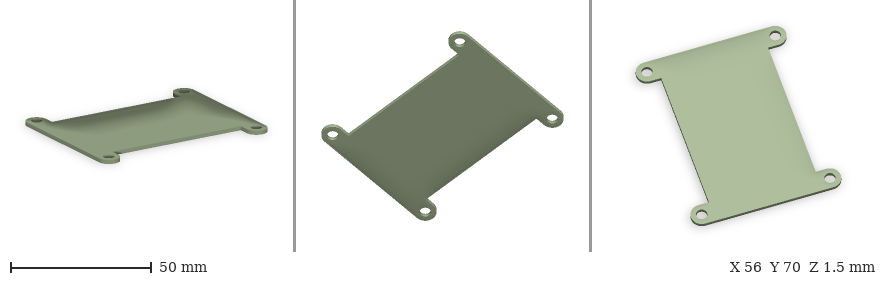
import cadquery as cq

length_x = 56.0
length_y = 70.0
thickness = 1.5

panel_width = 40.0
ear_width = 8.0
hole_diameter = 4.0

ear_radius = ear_width / 2
hole_spacing_x = length_x - ear_width
hole_spacing_y = length_y - ear_width


def make_panel():
    """Flat rectangular panel spanning the full length in Y."""
    return cq.Workplane("XY").rect(panel_width, length_y).extrude(thickness)


def make_ear_bar(center_y):
    """Round-ended bar across the panel, forming one ear on each side."""
    return (
        cq.Workplane("XY")
        .center(0, center_y)
        .slot2D(length_x, ear_width)
        .extrude(thickness)
    )


def cut_mounting_holes(plate):
    """Through hole at the center of each ear's rounded end."""
    holes = (
        cq.Workplane("XY")
        .rect(hole_spacing_x, hole_spacing_y, forConstruction=True)
        .vertices()
        .circle(hole_diameter / 2)
        .extrude(thickness)
    )
    return plate.cut(holes)


plate = make_panel()
for side in (-1, 1):
    plate = plate.union(make_ear_bar(side * (length_y / 2 - ear_radius)))

result = cut_mounting_holes(plate.clean())